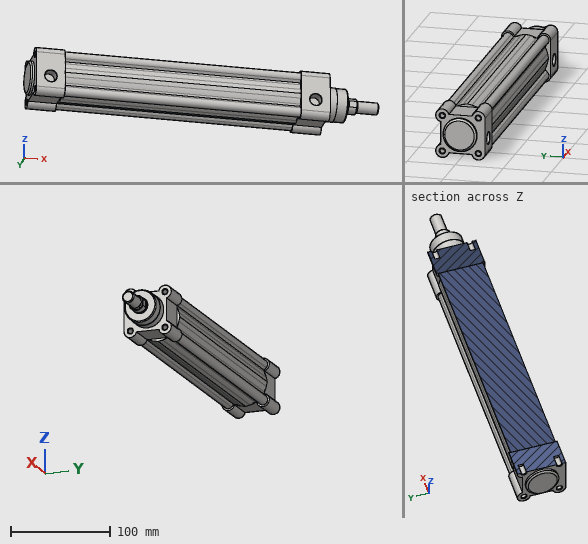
import cadquery as cq
import math


TOTAL_LENGTH = 363.7

CAP_SIZE = 51.3
CAP_LENGTH = 30.0
LOBE_RADIUS = 7.0
LOBE_CENTER = CAP_SIZE / 2 - LOBE_RADIUS
WAIST_HALF = 20.5
REAR_CAP_START = 3.5
FRONT_CAP_START = 278.5
FRONT_CAP_END = FRONT_CAP_START + CAP_LENGTH

SPIGOT_RADIUS = 17.5
REAR_BEVEL_AXIAL = 1.5
REAR_BEVEL_RADIAL = 2.2
NOSE_START = 318.0
NOSE_RADIUS = 17.0
NOSE_END = 329.5
NOSE_BEVEL = 1.0

SCREW_HOLE_RADIUS = 2.5
SCREW_HOLE_BEVEL = 0.7
SCREW_HOLE_DEPTH = 11.0

PORT_RADIUS = 6.2
PORT_BEVEL = 0.5
PORT_DEPTH = 11.0
PORT_Z = -6.2

TUBE_START = REAR_CAP_START + CAP_LENGTH
TUBE_LENGTH = FRONT_CAP_START - TUBE_START
TUBE_RADIUS = 23.0
RIDGE_ANGLE = math.radians(12.0)
TUBE_LOBE_RADIUS = 5.0
GROOVE_INNER = 10.5
GROOVE_OUTER = 12.7

COLLAR_RADIUS = 8.5
COLLAR_END = 332.0
ROD_RADIUS = 8.0
ROD_END = 340.8
ROD_BEVEL = 0.7
FLAT_DISTANCE = 7.3
FLAT_START = 332.5
THREAD_RADIUS = 6.2
THREAD_BEVEL = 1.0


def box_between(x0, x1, y0, y1, z0, z1):
    """Axis-aligned box given by its limits."""
    return cq.Workplane("XY").box(x1 - x0, y1 - y0, z1 - z0, centered=False).translate((x0, y0, z0))


def rod_along_x(x0, x1, radius, y=0.0, z=0.0):
    """Cylinder parallel to X."""
    return cq.Workplane("YZ", origin=(x0, y, z)).circle(radius).extrude(x1 - x0)


def lobe_positions():
    """Centres (y, z) of the four corner lobes."""
    return [(y, z) for y in (-LOBE_CENTER, LOBE_CENTER) for z in (-LOBE_CENTER, LOBE_CENTER)]


def cap_block(x0):
    """Waisted square block with a round lobe at each corner and a flat -Y face."""
    x1 = x0 + CAP_LENGTH
    half = CAP_SIZE / 2
    block = box_between(x0, x1, -WAIST_HALF, WAIST_HALF, -WAIST_HALF, WAIST_HALF)
    block = block.union(box_between(x0, x1, -half, -LOBE_CENTER, -LOBE_CENTER, LOBE_CENTER))
    for y, z in lobe_positions():
        block = block.union(rod_along_x(x0, x1, LOBE_RADIUS, y, z))
    return block


def countersunk_hole(face, radius, depth, bevel):
    """Blind hole tool below a workplane, widened by a 45 degree bevel at its mouth."""
    profile = [
        (0, 0),
        (radius + bevel, 0),
        (radius, -bevel),
        (radius, -depth),
        (0, -depth),
    ]
    tool = cq.Workplane("XZ").polyline(profile).close().revolve(360, (0, 0, 0), (0, 1, 0))
    return tool.val().moved(cq.Location(face))


def cut_port(cap, x0):
    """Blind air port in the middle of the cap's -Y face."""
    center = (x0 + CAP_LENGTH / 2, -CAP_SIZE / 2, PORT_Z)
    face = cq.Plane(origin=center, xDir=(1, 0, 0), normal=(0, -1, 0))
    return cap.cut(countersunk_hole(face, PORT_RADIUS, PORT_DEPTH, PORT_BEVEL))


def cut_screw_holes(cap, face_x, outward):
    """Blind holes in the lobes; outward is the X direction out of the cap."""
    for y, z in lobe_positions():
        face = cq.Plane(origin=(face_x, y, z), xDir=(0, 1, 0), normal=(outward, 0, 0))
        cap = cap.cut(countersunk_hole(face, SCREW_HOLE_RADIUS, SCREW_HOLE_DEPTH, SCREW_HOLE_BEVEL))
    return cap


def revolve_about_x(profile):
    """Solid of revolution from (x, radius) points."""
    return cq.Workplane("XY").polyline(profile).close().revolve(360, (0, 0, 0), (1, 0, 0))


def make_rear_cap():
    cap = cap_block(REAR_CAP_START)
    spigot_profile = [
        (0, 0),
        (0, SPIGOT_RADIUS - REAR_BEVEL_RADIAL),
        (REAR_BEVEL_AXIAL, SPIGOT_RADIUS),
        (REAR_CAP_START, SPIGOT_RADIUS),
        (REAR_CAP_START, 0),
    ]
    cap = cap.union(revolve_about_x(spigot_profile))
    cap = cut_screw_holes(cap, REAR_CAP_START, -1)
    return cut_port(cap, REAR_CAP_START)


def make_front_cap():
    cap = cap_block(FRONT_CAP_START)
    spigot = rod_along_x(FRONT_CAP_END, NOSE_START, SPIGOT_RADIUS)
    nose = rod_along_x(NOSE_START, NOSE_END, NOSE_RADIUS).faces(">X").chamfer(NOSE_BEVEL)
    cap = cap.union(spigot).union(nose)
    cap = cut_screw_holes(cap, FRONT_CAP_END, 1)
    return cut_port(cap, FRONT_CAP_START)


def turned(point, quarter):
    """The point turned about the origin by a number of clockwise quarter turns."""
    u, v = point
    for _ in range(quarter):
        u, v = v, -u
    return (u, v)


def on_circle(radius, angle, center=(0.0, 0.0)):
    """Point on a circle, the angle being measured from +V towards +U."""
    return (center[0] + radius * math.sin(angle), center[1] + radius * math.cos(angle))


def make_tube():
    """Extrusion with a low ridge on each side and a round lobe at each corner."""
    diagonal = math.radians(45)
    groove_angle = math.asin(GROOVE_INNER / TUBE_RADIUS)
    lobe = (LOBE_CENTER, LOBE_CENTER)

    ridge = (0, TUBE_RADIUS / math.cos(RIDGE_ANGLE))
    ridge_foot = on_circle(TUBE_RADIUS, RIDGE_ANGLE)
    arc_middle = on_circle(TUBE_RADIUS, (RIDGE_ANGLE + groove_angle) / 2)
    groove_inner = on_circle(TUBE_RADIUS, groove_angle)
    lobe_start = on_circle(TUBE_LOBE_RADIUS, -diagonal, lobe)
    groove_outer = (GROOVE_OUTER, lobe_start[1] - (lobe_start[0] - GROOVE_OUTER))
    lobe_tip = on_circle(TUBE_LOBE_RADIUS, diagonal, lobe)

    def mirrored(point):
        return (-point[0], point[1])

    outline = cq.Workplane("YZ", origin=(TUBE_START, 0, 0)).moveTo(*mirrored(lobe_start))
    for side in range(4):
        def place(point):
            return turned(point, side)

        outline = (
            outline.lineTo(*place(mirrored(groove_outer)))
            .lineTo(*place(mirrored(groove_inner)))
            .threePointArc(place(mirrored(arc_middle)), place(mirrored(ridge_foot)))
            .lineTo(*place(ridge))
            .lineTo(*place(ridge_foot))
            .threePointArc(place(arc_middle), place(groove_inner))
            .lineTo(*place(groove_outer))
            .lineTo(*place(lobe_start))
            .threePointArc(place(lobe_tip), place((lobe_start[1], lobe_start[0])))
        )
    return outline.close().extrude(TUBE_LENGTH)


def make_rod():
    """Piston rod end with collar, wrench flats and threaded end."""
    profile = [
        (NOSE_END, 0),
        (NOSE_END, COLLAR_RADIUS),
        (COLLAR_END - ROD_BEVEL, COLLAR_RADIUS),
        (COLLAR_END, ROD_RADIUS),
        (ROD_END - ROD_BEVEL, ROD_RADIUS),
        (ROD_END, ROD_RADIUS - ROD_BEVEL),
        (ROD_END, THREAD_RADIUS - THREAD_BEVEL),
        (ROD_END + THREAD_BEVEL, THREAD_RADIUS),
        (TOTAL_LENGTH - THREAD_BEVEL, THREAD_RADIUS),
        (TOTAL_LENGTH, THREAD_RADIUS - THREAD_BEVEL),
        (TOTAL_LENGTH, 0),
    ]
    rod = revolve_about_x(profile)
    for y0, y1 in ((FLAT_DISTANCE, COLLAR_RADIUS), (-COLLAR_RADIUS, -FLAT_DISTANCE)):
        rod = rod.cut(box_between(FLAT_START, ROD_END, y0, y1, -COLLAR_RADIUS, COLLAR_RADIUS))
    return rod


rear_cap = make_rear_cap()
tube = make_tube()
front_cap = make_front_cap()
rod = make_rod()

result = cq.Compound.makeCompound([rear_cap.val(), tube.val(), front_cap.val(), rod.val()])